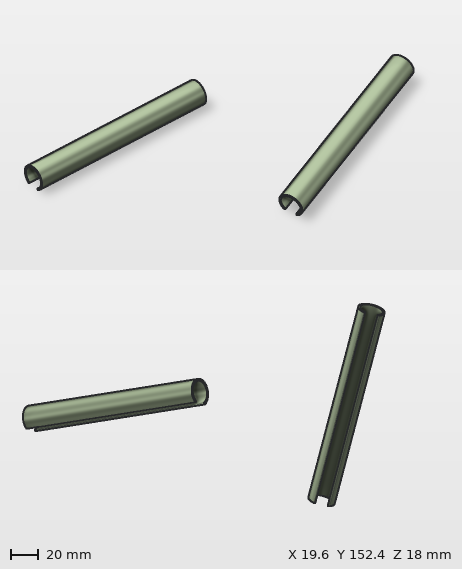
import cadquery as cq
import math

length = 152.4
outer_radius = 9.825
wall = 1.524
height = 17.96

inner_radius = outer_radius - wall
mid_radius = outer_radius - wall / 2
lip_radius = wall / 2
lip_center_z = outer_radius - height + lip_radius
lip_angle = math.asin(lip_center_z / mid_radius)


def polar(radius, angle):
    return radius * math.cos(angle), radius * math.sin(angle)


def mirrored(point):
    x, z = point
    return -x, z


def lip_tip():
    """Farthest point of the right lip's full round, along the tube's tangent."""
    x, z = polar(mid_radius, lip_angle)
    return x + lip_radius * math.sin(lip_angle), z - lip_radius * math.cos(lip_angle)


def make_clip_tube():
    """C-shaped tube, open downward, with fully rounded lips along the opening."""
    outer_end = polar(outer_radius, lip_angle)
    inner_end = polar(inner_radius, lip_angle)
    return (
        cq.Workplane("XZ")
        .moveTo(*outer_end)
        .threePointArc((0, outer_radius), mirrored(outer_end))
        .threePointArc(mirrored(lip_tip()), mirrored(inner_end))
        .threePointArc((0, inner_radius), inner_end)
        .threePointArc(lip_tip(), outer_end)
        .close()
        .extrude(length / 2, both=True)
    )


result = make_clip_tube()